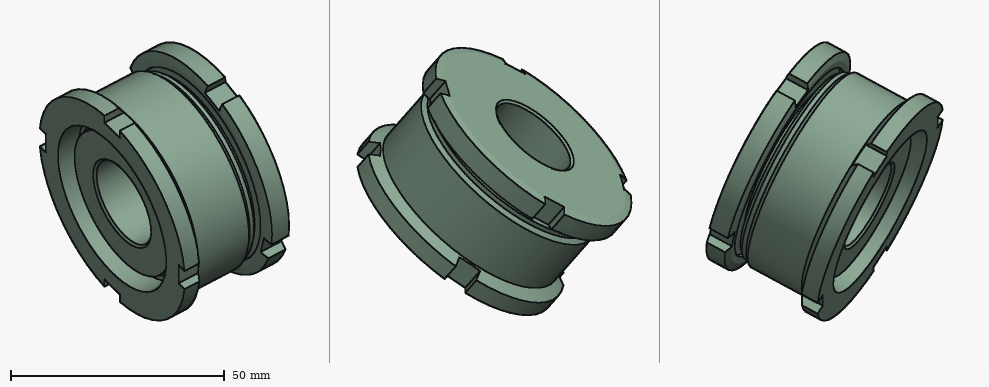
import cadquery as cq


outer_radius = 28.95
total_length = 30.75

flange_slot_width = 6.1
head_slot_width = 5.85
slot_floor_radius = 26.4
slot_count = 4
head_slot_turn = 12.6

barrel_radius = 25.95
pilot_radius = 24.9
flange_thickness = 4.3
flange_cone_end = 6.1
barrel_end = 20.7
pilot_start = 21.75
pilot_end = 22.9
housing_length = 23.9
pilot_chamfer = housing_length - pilot_end
recess_radius = 21.55
recess_depth = 6.0

shank_radius = 19.75
shank_start = 2.9
nose_radius = 18.95
nose_length = 1.4
shoulder_start = shank_start + nose_length
shoulder_end = shoulder_start + shank_radius - nose_radius
neck_radius = 18.8
head_thickness = 6.0
head_start = total_length - head_thickness
head_chamfer_width = 2.1
head_chamfer_height = 0.5
head_face_radius = outer_radius - head_chamfer_width
head_recess_radius = 25.05
head_recess_depth = 1.0
bore_radius = 10.95
bore_chamfer = 0.6


def revolve_profile(points):
    """Turn a closed (radius, y) outline about the Y axis."""
    return cq.Workplane("XY").polyline(points).close().revolve(360, (0, 0, 0), (0, 1, 0))


def cut_wrench_slots(body, start, length, width, turn):
    """Cut flat-floored slots around the rim, over a given length along Y."""
    slot_height = outer_radius
    slot = cq.Workplane("XY").box(width, length, slot_height, centered=(True, False, False))
    slot = slot.translate((0, start, slot_floor_radius))
    for index in range(slot_count):
        angle = turn + index * 360 / slot_count
        body = body.cut(slot.rotate((0, 0, 0), (0, 1, 0), angle))
    return body


def make_housing():
    """Flanged sleeve with a front recess and a stepped rear pilot."""
    housing = revolve_profile([
        (recess_radius, 0),
        (outer_radius, 0),
        (outer_radius, flange_thickness),
        (barrel_radius, flange_cone_end),
        (barrel_radius, barrel_end),
        (pilot_radius, pilot_start),
        (pilot_radius, pilot_end),
        (pilot_radius - pilot_chamfer, housing_length),
        (shank_radius, housing_length),
        (shank_radius, recess_depth),
        (recess_radius, recess_depth),
    ])
    return cut_wrench_slots(housing, 0, flange_cone_end, flange_slot_width, 0)


def make_spindle():
    """Hollow shank that fills the housing bore and carries a slotted head."""
    spindle = revolve_profile([
        (bore_radius + bore_chamfer, shank_start),
        (nose_radius, shank_start),
        (nose_radius, shoulder_start),
        (shank_radius, shoulder_end),
        (shank_radius, housing_length),
        (neck_radius, housing_length),
        (neck_radius, head_start + head_recess_depth),
        (head_recess_radius, head_start + head_recess_depth),
        (head_recess_radius, head_start),
        (head_face_radius, head_start),
        (outer_radius, head_start + head_chamfer_height),
        (outer_radius, total_length - head_chamfer_height),
        (head_face_radius, total_length),
        (bore_radius + bore_chamfer, total_length),
        (bore_radius, total_length - bore_chamfer),
        (bore_radius, shank_start + bore_chamfer),
    ])
    return cut_wrench_slots(spindle, head_start, head_thickness, head_slot_width, head_slot_turn)


housing = make_housing()
spindle = make_spindle()
result = cq.Compound.makeCompound([housing.val(), spindle.val()])